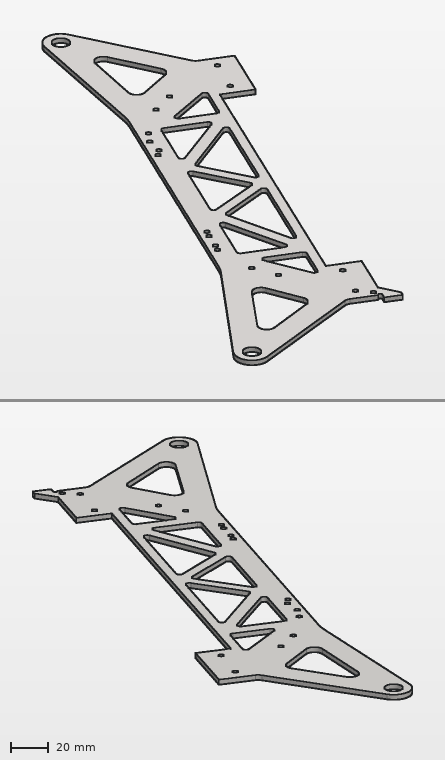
import cadquery as cq
import math

span = 382.0
thickness = 3.0

foot_radius = 10.0
foot_hole_diameter = 10.0
foot_x = span / 2 - foot_radius
foot_y = -10.0

beam_top = 55.0
beam_bottom_half_length = 88.0
block_top = 75.0
block_width_left = 39.7
block_inner_left = -101.2
block_inner_right = 99.7
shoulder_x = 139.0
shoulder_y = beam_top

shoulder_fillet = 5.0
beam_bottom_fillet = 34.5

hook_top = 85.0
hook_start_x = 130.5
hook_tip_x = 139.5
hook_outer_x = 142.5
hook_relief_diameter = 2.3

window_top = 49.3
window_bottom = 13.8
window_fillet = 2.0
leg_window_fillet = 5.0

screw_hole_diameter = 3.0
screw_holes_left = [
    (-133.0, 63.0), (-109.0, 63.0),
    (-106.5, 28.5), (-94.5, 17.5),
    (-70.0, 6.0), (-60.7, 4.2), (-50.0, 6.0), (-45.0, 4.2),
]
screw_holes_right = [
    (107.0, 62.3), (131.0, 62.3), (135.2, 71.0),
    (102.5, 28.0), (91.0, 16.5),
    (45.0, 5.0), (50.0, 4.5), (61.0, 5.0), (66.0, 4.5),
]

side_windows = [
    ([(-108.0, window_top), (-81.5, window_top), (-81.5, 21.8)], window_fillet),
    ([(-68.8, window_top), (-4.2, window_top), (-28.5, 19.5)], window_fillet),
    ([(-73.5, 43.5), (-73.5, window_bottom), (-33.5, window_bottom)], window_fillet),
    ([(-134.5, 37.0), (-108.0, 10.7), (-168.0, -2.0)], leg_window_fillet),
]
middle_window_half_width = 25.0
middle_window_apex = 44.5
middle_window = [
    (-middle_window_half_width, window_bottom),
    (middle_window_half_width, window_bottom),
    (0, middle_window_apex),
]


def foot_tangent_point(x, y, turn):
    """Point where a line from (x, y) touches the right foot; turn (+1 or -1) picks the side."""
    dx = x - foot_x
    dy = y - foot_y
    angle = math.atan2(dy, dx) + turn * math.acos(foot_radius / math.hypot(dx, dy))
    return (foot_x + foot_radius * math.cos(angle), foot_y + foot_radius * math.sin(angle))


def mirrored(points):
    return [(-x, y) for x, y in points]


def extruded(points):
    return cq.Workplane("XY").polyline(points).close().extrude(thickness)


def window(points, fillet):
    return extruded(points).edges("|Z").fillet(fillet)


def plate():
    upper_x, upper_y = foot_tangent_point(shoulder_x, shoulder_y, -1)
    lower_x, lower_y = foot_tangent_point(beam_bottom_half_length, 0, 1)
    block_outer_left = block_inner_left - block_width_left
    leg_slope = (upper_y - shoulder_y) / (upper_x - shoulder_x)
    left_shoulder_y = shoulder_y + leg_slope * (-block_outer_left - shoulder_x)
    outline = (
        cq.Workplane("XY")
        .moveTo(-beam_bottom_half_length, 0)
        .lineTo(beam_bottom_half_length, 0)
        .lineTo(lower_x, lower_y)
        .threePointArc((foot_x + foot_radius, foot_y), (upper_x, upper_y))
        .lineTo(shoulder_x, shoulder_y)
        .lineTo(shoulder_x, block_top)
        .lineTo(block_inner_right, block_top)
        .lineTo(block_inner_right, beam_top)
        .lineTo(block_inner_left, beam_top)
        .lineTo(block_inner_left, block_top)
        .lineTo(block_outer_left, block_top)
        .lineTo(block_outer_left, left_shoulder_y)
        .lineTo(-upper_x, upper_y)
        .threePointArc((-foot_x - foot_radius, foot_y), (-lower_x, lower_y))
        .close()
        .extrude(thickness)
    )
    for x, y, radius in [
        (-beam_bottom_half_length, 0, beam_bottom_fillet),
        (beam_bottom_half_length, 0, beam_bottom_fillet),
        (block_outer_left, left_shoulder_y, shoulder_fillet),
        (shoulder_x, shoulder_y, shoulder_fillet),
    ]:
        corner = (x, y, thickness / 2)
        outline = outline.edges(cq.NearestToPointSelector(corner)).fillet(radius)
    return outline


def hook():
    """Hook with a sloping inner edge, overhanging the block side and rooted in the block."""
    return extruded([
        (hook_start_x, block_top),
        (hook_tip_x, hook_top),
        (hook_outer_x, hook_top),
        (hook_outer_x, block_top),
        (shoulder_x, block_top),
        (shoulder_x, beam_top),
        (hook_start_x, beam_top),
    ])


def round_holes(points, diameter):
    return cq.Workplane("XY").pushPoints(points).circle(diameter / 2).extrude(thickness)


result = plate().union(hook())

relief_center = (shoulder_x, block_top - hook_relief_diameter / 2)
result = result.cut(round_holes([relief_center], hook_relief_diameter))

for corners, corner_fillet in side_windows:
    result = result.cut(window(corners, corner_fillet))
    result = result.cut(window(mirrored(corners), corner_fillet))
result = result.cut(window(middle_window, window_fillet))

result = result.cut(round_holes([(-foot_x, foot_y), (foot_x, foot_y)], foot_hole_diameter))
result = result.cut(round_holes(screw_holes_left + screw_holes_right, screw_hole_diameter))